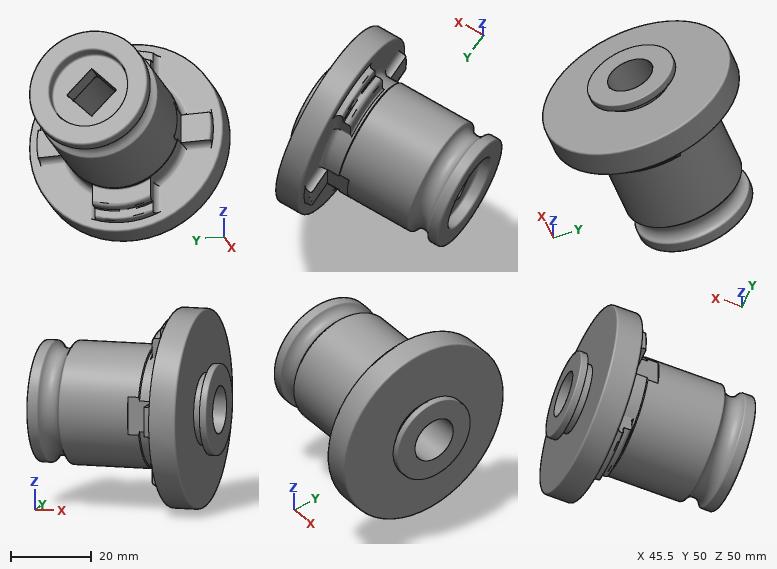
import cadquery as cq
import math

total_length = 45.5
collar_radius = 30.5 / 2
body_radius = 31.0 / 2
neck_radius = collar_radius
flange_radius = 50.0 / 2
spigot_radius = 18.2 / 2
end_disc_radius = 22.9 / 2

body_end = 29.2
body_end_chamfer = body_radius - neck_radius
flange_front = 34.5
flange_back = 41.5
end_disc_front = 43.7
root_fillet = 1.45
edge_fillet = 0.5
end_disc_fillet = 0.3

groove_x = 5.65
groove_radius = 2.9
groove_centre_radius = 16.25

recess_radius = 20.1 / 2
recess_depth = 3.2
recess_fillet = 0.5
square_side = 9.0
square_depth = 4.75
bore_radius = 12.0 / 2

lug_radius = 22.55
lug_front = 32.5
side_lug_width = 7.4
stepped_lug_width = 15.0
step_radius = 20.0
step_front = 30.25
step_edge_fillet = 0.9
step_corner_fillet = 0.25
step_root_fillet = 0.4

flat_distance = 14.75
flat_start = 26.25

match_tolerance = 0.005


def revolve_about_x(profile):
    return profile.close().revolve(360, (0, 0, 0), (1, 0, 0))


def groove_dx(radius):
    """Distance along X from the groove centre to where the groove meets a given radius."""
    return math.sqrt(groove_radius**2 - (groove_centre_radius - radius) ** 2)


def disc(x_start, x_end, radius):
    """Plain cylinder about the X axis."""
    return cq.Workplane("YZ", origin=(x_start, 0, 0)).circle(radius).extrude(x_end - x_start)


def arc_inset(radius):
    """Distance from the faces of a square corner to the middle of its fillet arc."""
    return radius * (1 - math.sqrt(0.5))


def is_at_radius(edge, radius):
    """True when the middle of the edge lies on the given radius about X."""
    middle = edge.positionAt(0.5)
    return abs(math.hypot(middle.y, middle.z) - radius) < match_tolerance


def round_groove_and_collar(body):
    """Round both edges of the groove and the front edge of the collar."""
    edges = body.edges("%CIRCLE").filter(
        lambda e: (is_at_radius(e, collar_radius) or is_at_radius(e, body_radius))
        and e.Center().x < groove_x + 2 * groove_radius
    )
    return edges.fillet(edge_fillet)


def make_body():
    """Collar, grooved body and neck."""
    profile = (
        cq.Workplane("XY")
        .lineTo(0, collar_radius)
        .lineTo(groove_x - groove_dx(collar_radius), collar_radius)
        .threePointArc(
            (groove_x, groove_centre_radius - groove_radius),
            (groove_x + groove_dx(body_radius), body_radius),
        )
        .lineTo(body_end - body_end_chamfer, body_radius)
        .lineTo(body_end, neck_radius)
        .lineTo(flange_back, neck_radius)
        .lineTo(flange_back, 0)
    )
    return round_groove_and_collar(revolve_about_x(profile))


def make_flange():
    """Flange with its concave root at the neck, and the spigot with its end disc."""
    flange = disc(flange_front, flange_back, flange_radius).edges().fillet(edge_fillet)
    arc_offset = arc_inset(root_fillet)
    root = revolve_about_x(
        cq.Workplane("XY")
        .moveTo(flange_front - root_fillet, 0)
        .lineTo(flange_front - root_fillet, neck_radius)
        .threePointArc(
            (flange_front - arc_offset, neck_radius + arc_offset),
            (flange_front, neck_radius + root_fillet),
        )
        .lineTo(flange_front, 0)
    )
    spigot = disc(flange_back, end_disc_front, spigot_radius)
    end_disc = disc(end_disc_front, total_length, end_disc_radius)
    end_disc = end_disc.faces(">X").edges().fillet(end_disc_fillet)
    return flange.union(root).union(spigot).union(end_disc)


def make_lug_disc():
    """Round disc with a rounded front edge, from which all lug bases are cut."""
    return disc(lug_front, flange_front, lug_radius).faces("<X").edges().fillet(edge_fillet)


def lug_bar(width):
    """Bar along Z across the axis, with concave fillets down to the flange on both sides."""
    half = width / 2
    foot = half + root_fillet
    arc_offset = arc_inset(root_fillet)
    return (
        cq.Workplane("XY")
        .moveTo(lug_front, -half)
        .lineTo(lug_front, half)
        .lineTo(flange_front - root_fillet, half)
        .threePointArc((flange_front - arc_offset, half + arc_offset), (flange_front, foot))
        .lineTo(flange_front, -foot)
        .threePointArc(
            (flange_front - arc_offset, -half - arc_offset),
            (flange_front - root_fillet, -half),
        )
        .close()
        .extrude(flange_radius, both=True)
    )


def make_step():
    """Raised inner steps of the upper and lower lugs, flaring out where they meet the lug base."""
    corner_offset = arc_inset(step_corner_fillet)
    edge_offset = arc_inset(step_edge_fillet)
    ring = revolve_about_x(
        cq.Workplane("XY")
        .moveTo(step_front, 0)
        .lineTo(step_front, step_radius - step_edge_fillet)
        .threePointArc(
            (step_front + edge_offset, step_radius - edge_offset),
            (step_front + step_edge_fillet, step_radius),
        )
        .lineTo(lug_front - step_corner_fillet, step_radius)
        .threePointArc(
            (lug_front - corner_offset, step_radius + corner_offset),
            (lug_front, step_radius + step_corner_fillet),
        )
        .lineTo(flange_front, step_radius + step_corner_fillet)
        .lineTo(flange_front, 0)
    )
    bar = cq.Workplane("YZ", origin=(step_front, 0, 0)).rect(stepped_lug_width, 2 * flange_radius)
    return ring.intersect(bar.extrude(flange_front - step_front))


def add_steps(body):
    """Join the steps to the neck and round the inside corners all round them."""
    body = body.union(make_step())
    roots = body.edges().filter(
        lambda e: is_at_radius(e, neck_radius) and step_front - match_tolerance < e.Center().x < flange_front
    )
    return roots.fillet(step_root_fillet)


def cut_flats(body):
    """Flats facing -Y and +Y, running back to the face of the side lugs."""
    for side in (-1, 1):
        cutter = cq.Workplane("XY").box(lug_front - flat_start, body_radius, 2 * body_radius)
        centre_x = (flat_start + lug_front) / 2
        body = body.cut(cutter.translate((centre_x, side * (flat_distance + body_radius / 2), 0)))
    return body


def cut_socket(body):
    """Recess with rounded rim and floor corner, then the square hole standing on its corner, then the bore."""
    offset = arc_inset(recess_fillet)
    recess = revolve_about_x(
        cq.Workplane("XY")
        .lineTo(0, recess_radius + recess_fillet)
        .threePointArc((offset, recess_radius + offset), (recess_fillet, recess_radius))
        .lineTo(recess_depth - recess_fillet, recess_radius)
        .threePointArc(
            (recess_depth - offset, recess_radius - offset),
            (recess_depth, recess_radius - recess_fillet),
        )
        .lineTo(recess_depth, 0)
    )
    bore_start = recess_depth + square_depth
    square = cq.Workplane("YZ").rect(square_side, square_side).extrude(bore_start)
    square = square.rotate((0, 0, 0), (1, 0, 0), 45)
    bore = disc(bore_start, total_length, bore_radius)
    return body.cut(recess).cut(square).cut(bore)


body = cut_flats(add_steps(make_body()))
lug_disc = make_lug_disc()
stepped_lugs = lug_disc.intersect(lug_bar(stepped_lug_width))
side_lugs = lug_disc.intersect(lug_bar(side_lug_width).rotate((0, 0, 0), (1, 0, 0), 90))
body = body.union(make_flange()).union(stepped_lugs).union(side_lugs)
result = cut_socket(body)